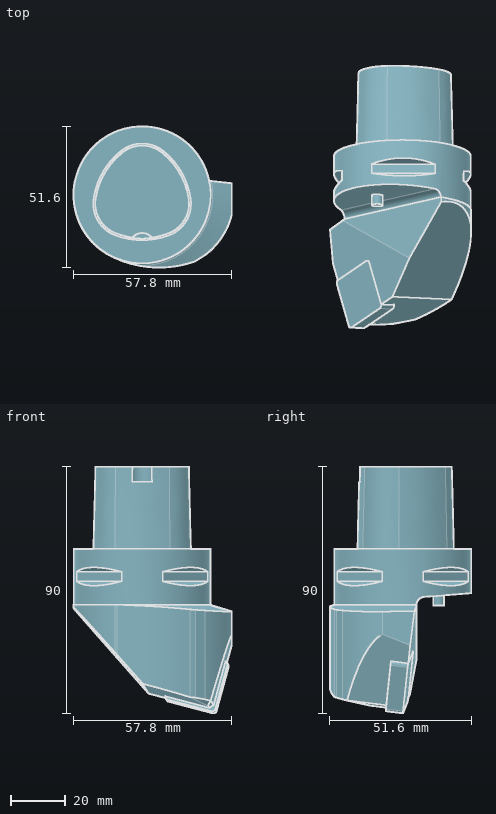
import cadquery as cq
import math


taper_height = 30
taper_half_angle = math.degrees(math.atan(1 / 40))
lobe_reach = 18.7
lobe_centre_reach = 6.4
flank_centre_reach = 10.8

notch_diameter = 9
notch_depth = 5.5
notch_wall_y = -13.9

flange_radius = 25
flange_height = 20.35
groove_floor_radius = 22.15
groove_floor_width = 3.4
groove_wall_angle = 30
groove_mid_z = -10.1
groove_clearance = 1

wall_y = 5.05
wall_fillet = 3
step_edge_z = -16.2
step_slope = 4.5

nozzle_diameter = 4
nozzle_y = 13.1
nozzle_end_z = -20.7

head_left_radius = 25.1
head_right_x = 32.68
head_back_y = -26.56
back_radius = 38.7
back_centre_x = 6.2
side_radius = 26.52
side_centre = (7.0, -0.78)
back_start_x = -9.2
left_arc_end_x = -10.0
back_end_x = 17.4
corner_flat_start = (19.3, -24.3)
side_start_x = 22.8
shoulder_ring_width = 0.65
shoulder_ring_drop = 0.3
shoulder_slope = 16.6

underside_point = (2.6, 4, -53.1)
underside_slope = 48.7
underside_tilt = 1.5

tool_reach = 60
insert_side = 19.05
insert_thickness = 6.35
nose_radius = 1.2
insert_corner_x = 26.85
insert_turn = 14.7
insert_tip_angle = 5.85
insert_overhang = 1.0
head_nose_chamfer = 1.3
relief_start = (2.4, -12.5)
relief_end = (8.2, -26.2)
relief_angle = 14.5

cutter_size = 200


def slope(angle):
    return math.tan(math.radians(angle))


def beyond(point, outward):
    """Block that fills the space outside a plane."""
    plane = cq.Plane(origin=point, normal=outward)
    return cq.Workplane(plane).rect(cutter_size, cutter_size).extrude(cutter_size)


def polar(radius, angle):
    turned = math.radians(angle)
    return (radius * math.cos(turned), radius * math.sin(turned))


turn = math.radians(insert_turn)
lower_edge = cq.Vector(-math.cos(turn), slope(insert_tip_angle), math.sin(turn))
side_edge = cq.Vector(math.sin(turn), slope(insert_tip_angle), math.cos(turn))
face_normal = lower_edge.cross(side_edge).normalized()
edge_x = lower_edge.normalized()
edge_y = face_normal.cross(edge_x)
nose_rise = nose_radius * (edge_x.z + edge_y.z - math.hypot(edge_x.z, edge_y.z))
insert_corner = cq.Vector(insert_corner_x, 0, -tool_reach - nose_rise)
insert_frame = cq.Plane(origin=insert_corner, xDir=edge_x, normal=face_normal)


def make_taper():
    lobe_radius = lobe_reach - lobe_centre_reach
    half_spacing = 60
    centres_x = lobe_centre_reach + flank_centre_reach * math.cos(math.radians(half_spacing))
    centres_y = flank_centre_reach * math.sin(math.radians(half_spacing))
    centres_distance = math.hypot(centres_x, centres_y)
    join_x = lobe_centre_reach + lobe_radius * centres_x / centres_distance
    join_y = lobe_radius * centres_y / centres_distance
    join_reach = math.hypot(join_x, join_y)
    join_angle = math.degrees(math.atan2(join_y, join_x))
    flank_reach = lobe_radius + centres_distance - flank_centre_reach

    lobe_angles = (90, 210, 330)
    profile = cq.Workplane("XY").moveTo(*polar(join_reach, lobe_angles[0] - join_angle))
    for angle in lobe_angles:
        profile = profile.threePointArc(polar(lobe_reach, angle), polar(join_reach, angle + join_angle))
        next_start = polar(join_reach, angle + 2 * half_spacing - join_angle)
        profile = profile.threePointArc(polar(flank_reach, angle + half_spacing), next_start)
    return profile.close().extrude(taper_height, taper=taper_half_angle)


def make_notch_cutter():
    return (
        cq.Workplane("XY", origin=(0, notch_wall_y - notch_diameter / 2, taper_height - notch_depth))
        .circle(notch_diameter / 2)
        .extrude(notch_depth)
    )


def make_groove_cutter():
    """Groove on the +X side, with a flat floor and walls that open outwards."""
    depth = flange_radius + groove_clearance - groove_floor_radius
    floor_half = groove_floor_width / 2
    mouth_half = floor_half + depth * slope(groove_wall_angle)
    return (
        cq.Workplane("XZ")
        .moveTo(groove_floor_radius, groove_mid_z - floor_half)
        .lineTo(groove_floor_radius + depth, groove_mid_z - mouth_half)
        .lineTo(groove_floor_radius + depth, groove_mid_z + mouth_half)
        .lineTo(groove_floor_radius, groove_mid_z + floor_half)
        .close()
        .extrude(flange_radius, both=True)
    )


def make_flange():
    flange = cq.Workplane("XY").circle(flange_radius).extrude(-flange_height)
    groove = make_groove_cutter()
    for angle in (45, 135, 225, 315):
        flange = flange.cut(groove.rotate((0, 0, 0), (0, 0, 1), angle))
    return flange


def make_head_blank():
    """Upright prism under the flange, with a conical shoulder where it juts past the flange."""
    back_centre_y = head_back_y + back_radius

    def back_arc(x):
        return (x, back_centre_y - math.sqrt(back_radius**2 - (x - back_centre_x) ** 2))

    def left_arc(x):
        return (x, -math.sqrt(head_left_radius**2 - x**2))

    def side_arc(x):
        return (x, side_centre[1] - math.sqrt(side_radius**2 - (x - side_centre[0]) ** 2))

    wall_start_x = -math.sqrt(head_left_radius**2 - wall_y**2)
    side_middle_x = (side_start_x + head_right_x) / 2
    prism = (
        cq.Workplane("XY")
        .moveTo(wall_start_x, wall_y)
        .threePointArc((-head_left_radius, 0), left_arc(left_arc_end_x))
        .lineTo(*back_arc(back_start_x))
        .threePointArc((back_centre_x, head_back_y), back_arc(back_end_x))
        .tangentArcPoint(corner_flat_start, relative=False)
        .lineTo(*side_arc(side_start_x))
        .threePointArc(side_arc(side_middle_x), side_arc(head_right_x))
        .lineTo(head_right_x, wall_y)
        .close()
        .extrude(-cutter_size / 2)
    )

    ring_radius = flange_radius + shoulder_ring_width
    ring_z = -flange_height - shoulder_ring_drop
    rim_radius = 2 * flange_radius
    rim_z = ring_z - (rim_radius - ring_radius) * slope(shoulder_slope)
    shoulder = (
        cq.Workplane("XZ")
        .moveTo(0, -flange_height)
        .lineTo(flange_radius, -flange_height)
        .lineTo(ring_radius, ring_z)
        .lineTo(rim_radius, rim_z)
        .lineTo(rim_radius, -cutter_size)
        .lineTo(0, -cutter_size)
        .close()
        .revolve(360, (0, 0, 0), (0, 1, 0))
    )
    return prism.intersect(shoulder)


def in_insert_frame(direction):
    """World direction of a direction given in the insert frame."""
    return insert_frame.toWorldCoords(direction) - insert_corner


def trim_head(head):
    angle = math.radians(underside_slope)
    underside_normal = (-math.sin(angle), -slope(underside_tilt), -math.cos(angle))
    head = head.cut(beyond(underside_point, underside_normal))

    head = head.cut(beyond(insert_corner, face_normal))
    flank_corner = insert_frame.toWorldCoords((insert_overhang, insert_overhang, 0))
    head = head.cut(beyond(flank_corner, edge_x * -1))
    head = head.cut(beyond(flank_corner, edge_y * -1))

    chamfer_point = insert_frame.toWorldCoords((insert_overhang + head_nose_chamfer, insert_overhang, 0))
    head = head.cut(beyond(chamfer_point, in_insert_frame((-1, -1, 0))))

    relief_point = insert_frame.toWorldCoords((relief_start[0], insert_overhang, relief_start[1]))
    run_x = relief_end[0] - relief_start[0]
    run_z = relief_end[1] - relief_start[1]
    run_length = math.hypot(run_x, run_z)
    lean = slope(relief_angle) / run_length
    relief_normal = in_insert_frame((run_z * lean, -1, -run_x * lean))
    return head.cut(beyond(relief_point, relief_normal))


def make_step_cutter():
    """Space above the cutting face: upright wall, fillet, gently sloping ceiling."""
    far_y = 2 * flange_radius
    ceiling_slope = slope(step_slope)
    wall_top_z = step_edge_z - (flange_radius - wall_y) * ceiling_slope
    return (
        cq.Workplane("YZ")
        .moveTo(wall_y, -cutter_size)
        .lineTo(wall_y, wall_top_z)
        .lineTo(far_y, wall_top_z + (far_y - wall_y) * ceiling_slope)
        .lineTo(far_y, -cutter_size)
        .close()
        .extrude(cutter_size / 2, both=True)
        .edges(cq.selectors.NearestToPointSelector((0, wall_y, wall_top_z)))
        .fillet(wall_fillet)
    )


def make_nozzle():
    return (
        cq.Workplane("XY", origin=(0, nozzle_y, nozzle_end_z))
        .circle(nozzle_diameter / 2)
        .extrude(-nozzle_end_z - flange_height / 2)
    )


def make_insert():
    return (
        cq.Workplane(insert_frame)
        .rect(insert_side, insert_side, centered=False)
        .extrude(-insert_thickness)
        .edges(cq.selectors.ParallelDirSelector(face_normal))
        .fillet(nose_radius)
    )


def make_holder(insert):
    shank = make_taper().cut(make_notch_cutter())
    head = trim_head(make_head_blank())
    body = shank.union(make_flange()).union(head)
    return body.cut(make_step_cutter()).union(make_nozzle()).cut(insert)


insert = make_insert()
holder = make_holder(insert)

result = cq.Compound.makeCompound([holder.val(), insert.val()])